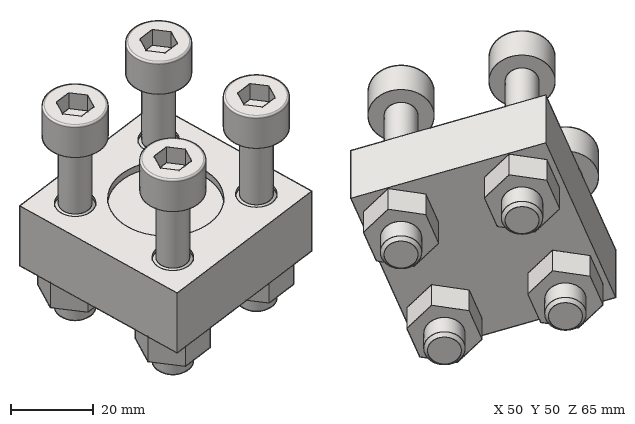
import cadquery as cq
import math

block_side = 50.0
block_height = 19.0
recess_diameter = 28.0
recess_depth = 2.0

total_height = 65
screw_spacing = 31.0
head_diameter = 16.0
head_height = 10.0
head_fillet = 0.5
socket_flats = 8.0
socket_depth = 5.0
shank_diameter = 8.2
thread_diameter = 10.0
thread_chamfer = (thread_diameter - shank_diameter) / 2
tip_length = 6.6

nut_flats = 16.0
nut_height = 8.2

block_bottom = tip_length + nut_height
block_top = block_bottom + block_height
head_bottom = total_height - head_height


def cylinder(diameter, bottom, height):
    return cq.Workplane("XY").workplane(offset=bottom).circle(diameter / 2).extrude(height)


def hexagon(across_flats, bottom, height):
    """Hexagonal prism with two corners on the Y axis."""
    across_corners = across_flats / math.cos(math.pi / 6)
    profile = cq.Workplane("XY").workplane(offset=bottom).transformed(rotate=(0, 0, 90))
    return profile.polygon(6, across_corners).extrude(height)


def make_block():
    base = cq.Workplane("XY").workplane(offset=block_bottom)
    block = base.rect(block_side, block_side).extrude(block_height)
    recess = cylinder(recess_diameter, block_top - recess_depth, recess_depth)
    return block.cut(recess)


def make_screw():
    head = cylinder(head_diameter, head_bottom, head_height).faces(">Z").fillet(head_fillet)
    socket = hexagon(socket_flats, total_height - socket_depth, socket_depth)
    shank = cylinder(shank_diameter, block_top, head_bottom - block_top)
    thread = cylinder(thread_diameter, 0, block_top).faces("<Z or >Z").chamfer(thread_chamfer)
    return thread.union(shank).union(head).cut(socket)


screw = make_screw()
nut = hexagon(nut_flats, tip_length, nut_height)
screw_hole = cylinder(thread_diameter, block_bottom, block_height)

result = make_block()
for x_side in (-1, 1):
    for y_side in (-1, 1):
        position = (x_side * screw_spacing / 2, y_side * screw_spacing / 2, 0)
        result = result.cut(screw_hole.translate(position))
        result = result.union(screw.translate(position))
        result = result.union(nut.translate(position))